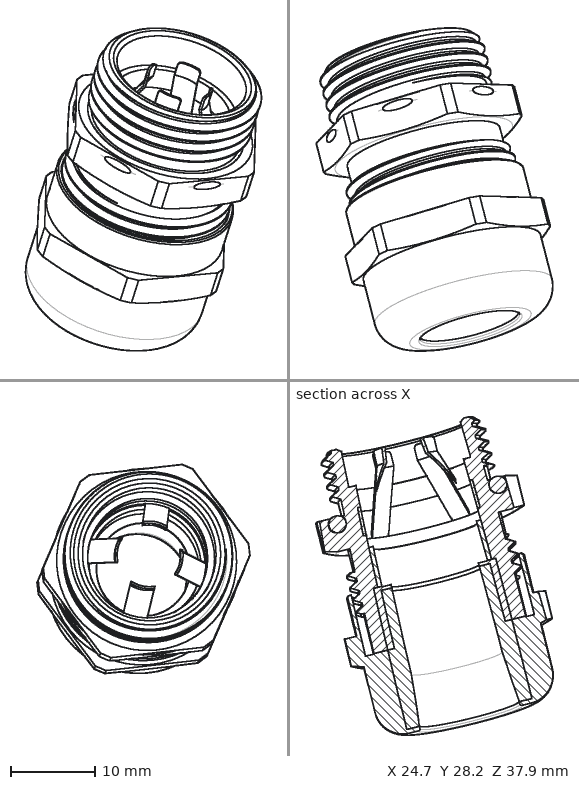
import cadquery as cq
import math


LEAN_ABOUT_X = -13.8
LEAN_ABOUT_Y = 5.6
HEX_ANGLE = 35.2
FINGER_ANGLE = 47.0

HEX_ACROSS_FLATS = 22.0
HEX_ACROSS_CORNERS = 24.6
HEX_BEVEL_RADIUS = 21.75 / 2
HEX_BEVEL_SLOPE = 16.0

CAP_RADIUS = 21.75 / 2
CAP_HEIGHT = 17.55
CAP_RIM_CHAMFER = 0.2
CAP_HEX_BOTTOM = 8.93
CAP_HEX_TOP = 12.68
CAP_FACE_RADIUS = 14.9 / 2
CAP_BORE_RADIUS = 20.7 / 2
CAP_LIP_RADIUS = 12.2 / 2
CAP_LIP_THICKNESS = 0.55
CAP_LIP_ROUND = 0.245

BODY_FOOT = 10.15
BODY_TOP = 34.7
NECK_RADIUS = 18.73 / 2
BODY_HEX_BOTTOM = 22.85
BODY_HEX_TOP = 26.9
COLLAR_OVERLAP = 0.38
ENTRY_ROOT_RADIUS = 18.28 / 2
ENTRY_BORE_RADIUS = 15.9 / 2
ENTRY_LEDGE = 30.0
RIM_OUTER_RADIUS = 9.0
RIM_INNER_RADIUS = 8.48
RIM_INNER_CHAMFER = 0.38
THROAT_RADIUS = 14.25 / 2

PITCH = 1.48
CREST_WIDTH = 0.15
FLANK_ANGLE = 30.0
THREAD_SINK = 0.08
THREAD_MARGIN = 0.38
ENTRY_MAJOR_RADIUS = 10.0
ENTRY_THREAD_BOTTOM = 28.6
ENTRY_THREAD_START = 26.0
ENTRY_THREAD_TURNS = 7
CAP_MAJOR_RADIUS = 10.25
CAP_THREAD_BOTTOM = 15.02
CAP_THREAD_TOP = 20.13
CAP_THREAD_START = 13.55
CAP_THREAD_TURNS = 6

ORING_RADIUS = 10.15
ORING_SECTION_RADIUS = 1.003
ORING_HEIGHT = 26.07

CLAMP_BORE_RADIUS = 13.3 / 2
CLAMP_TOP = 22.5
CAGE_TOP = 17.65
CAGE_RADIUS = 15.25 / 2
CAGE_LIP_RADIUS = 11.12 / 2
CAGE_LIP_THICKNESS = 0.45
CAGE_SLEEVE_RADIUS = 6.8
SEAL_TOP = CAGE_TOP - CAGE_LIP_THICKNESS
SEAL_BORE_RADIUS = CAGE_LIP_RADIUS
SEAL_CONE_TOP = 6.8
SEAL_MOUTH_RADIUS = CAP_LIP_RADIUS

CONTACT_RADIUS = 14.9 / 2
CONTACT_BOTTOM = 24.0
CONTACT_TOP = 27.35
SHEET = 0.25
FINGER_COUNT = 4
FINGER_WIDTH = 2.9
FINGER_TIP_RADIUS = 3.8
FINGER_TIP = 33.6
FINGER_BEND = 31.75
FINGER_CORNER_ROUND = 0.45


def turned(points):
    """A solid turned about Z from a closed outline of (radius, height) points."""
    return cq.Workplane("XZ").polyline(points).close().revolve(360, (0, 0, 0), (0, 1, 0))


def cylinder(radius, bottom, top):
    return cq.Workplane("XY").workplane(offset=bottom).circle(radius).extrude(top - bottom)


def tube(outer, inner, bottom, top):
    return cq.Workplane("XY").workplane(offset=bottom).circle(outer).circle(inner).extrude(top - bottom)


def hexagon(bottom, top):
    """Hexagon with flattened corners and a bevelled underside."""
    height = top - bottom

    def prism(across_flats, angle):
        corners = across_flats / math.cos(math.radians(30))
        plate = cq.Workplane("XY").workplane(offset=bottom).polygon(6, corners).extrude(height)
        return plate.rotate((0, 0, 0), (0, 0, 1), angle)

    flats = prism(HEX_ACROSS_FLATS, HEX_ANGLE)
    corner_cut = prism(HEX_ACROSS_CORNERS, HEX_ANGLE + 30)
    reach = HEX_ACROSS_CORNERS
    rise = (reach - HEX_BEVEL_RADIUS) * math.tan(math.radians(HEX_BEVEL_SLOPE))
    bevel = turned([
        (0, bottom), (HEX_BEVEL_RADIUS, bottom), (reach, bottom + rise), (reach, top + rise), (0, top + rise),
    ])
    return flats.intersect(corner_cut).intersect(bevel)


def thread(root, major, start, turns, limits):
    """Helical ridge, trimmed to the solid `limits`."""
    half_crest = CREST_WIDTH / 2
    base = root - THREAD_SINK
    half_base = half_crest + (major - base) * math.tan(math.radians(FLANK_ANGLE))
    helix = cq.Wire.makeHelix(PITCH, turns * PITCH, root).translate(cq.Vector(0, 0, start))
    ridge = (
        cq.Workplane("XZ")
        .polyline([
            (base, start - half_base), (base, start + half_base),
            (major, start + half_crest), (major, start - half_crest),
        ])
        .close()
        .sweep(cq.Workplane(obj=helix), isFrenet=True)
    )
    return ridge.intersect(limits)


def make_cap():
    fillet = CAP_RADIUS - CAP_FACE_RADIUS
    mid = fillet * math.sqrt(0.5)
    shell = (
        cq.Workplane("XZ")
        .moveTo(CAP_LIP_RADIUS, CAP_LIP_ROUND)
        .radiusArc((CAP_LIP_RADIUS + CAP_LIP_ROUND, 0), -CAP_LIP_ROUND)
        .lineTo(CAP_FACE_RADIUS, 0)
        .threePointArc((CAP_FACE_RADIUS + mid, fillet - mid), (CAP_RADIUS, fillet))
        .lineTo(CAP_RADIUS, CAP_HEIGHT - CAP_RIM_CHAMFER)
        .lineTo(CAP_RADIUS - CAP_RIM_CHAMFER, CAP_HEIGHT)
        .lineTo(CAP_BORE_RADIUS, CAP_HEIGHT)
        .lineTo(CAP_BORE_RADIUS, BODY_FOOT)
        .lineTo(CAGE_RADIUS, BODY_FOOT)
        .lineTo(CAGE_RADIUS, CAP_LIP_THICKNESS)
        .lineTo(CAP_LIP_RADIUS, CAP_LIP_THICKNESS)
        .close()
        .revolve(360, (0, 0, 0), (0, 1, 0))
    )
    core = cylinder(CAP_RADIUS - COLLAR_OVERLAP, CAP_HEX_BOTTOM, CAP_HEX_TOP)
    return shell.union(hexagon(CAP_HEX_BOTTOM, CAP_HEX_TOP).cut(core))


def make_oring():
    return (
        cq.Workplane("XZ")
        .center(ORING_RADIUS, ORING_HEIGHT)
        .circle(ORING_SECTION_RADIUS)
        .revolve(360, (-ORING_RADIUS, 0, 0), (-ORING_RADIUS, 1, 0))
    )


def contact_ring():
    return tube(CONTACT_RADIUS, THROAT_RADIUS, CONTACT_BOTTOM, CONTACT_TOP)


def make_body(oring):
    """Gland body with both threads, a groove for the O-ring and a recess for the contact ring."""
    neck_top = BODY_HEX_BOTTOM + COLLAR_OVERLAP
    core = turned([
        (CAGE_RADIUS, BODY_FOOT), (NECK_RADIUS, BODY_FOOT), (NECK_RADIUS, neck_top),
        (ENTRY_ROOT_RADIUS, neck_top), (ENTRY_ROOT_RADIUS, BODY_TOP),
        (RIM_INNER_RADIUS, BODY_TOP), (ENTRY_BORE_RADIUS, BODY_TOP - RIM_INNER_CHAMFER),
        (ENTRY_BORE_RADIUS, ENTRY_LEDGE), (THROAT_RADIUS, ENTRY_LEDGE),
        (THROAT_RADIUS, CAGE_TOP), (CAGE_RADIUS, CAGE_TOP),
    ])
    collar_bore = cylinder(THROAT_RADIUS + COLLAR_OVERLAP, BODY_HEX_BOTTOM, BODY_HEX_TOP)
    collar = hexagon(BODY_HEX_BOTTOM, BODY_HEX_TOP).cut(collar_bore)
    body = core.union(collar).cut(oring).cut(contact_ring())

    entry_limits = tube(
        ENTRY_MAJOR_RADIUS + THREAD_MARGIN, ENTRY_ROOT_RADIUS - THREAD_MARGIN, ENTRY_THREAD_BOTTOM, BODY_TOP
    )
    body = body.union(
        thread(ENTRY_ROOT_RADIUS, ENTRY_MAJOR_RADIUS, ENTRY_THREAD_START, ENTRY_THREAD_TURNS, entry_limits)
    )
    cap_limits = tube(
        CAP_MAJOR_RADIUS + THREAD_MARGIN, NECK_RADIUS - THREAD_MARGIN, CAP_THREAD_BOTTOM, CAP_THREAD_TOP
    )
    body = body.union(
        thread(NECK_RADIUS, CAP_MAJOR_RADIUS, CAP_THREAD_START, CAP_THREAD_TURNS, cap_limits)
    )

    reach = HEX_ACROSS_CORNERS / 2
    chamfer = turned([
        (RIM_OUTER_RADIUS, BODY_TOP), (reach, BODY_TOP), (reach, BODY_TOP + RIM_OUTER_RADIUS - reach),
    ])
    return body.cut(chamfer)


def make_clamp():
    return tube(THROAT_RADIUS, CLAMP_BORE_RADIUS, CAGE_TOP, CLAMP_TOP)


def make_cage():
    """Sleeve around the seal with a lip over its top."""
    return turned([
        (CAGE_SLEEVE_RADIUS, BODY_FOOT), (CAGE_RADIUS, BODY_FOOT), (CAGE_RADIUS, CAGE_TOP),
        (CAGE_LIP_RADIUS, CAGE_TOP), (CAGE_LIP_RADIUS, SEAL_TOP), (CAGE_SLEEVE_RADIUS, SEAL_TOP),
    ])


def make_seal():
    """Seal with a straight bore that flares towards the cap opening."""
    return turned([
        (SEAL_MOUTH_RADIUS, CAP_LIP_THICKNESS), (CAGE_RADIUS, CAP_LIP_THICKNESS), (CAGE_RADIUS, BODY_FOOT),
        (CAGE_SLEEVE_RADIUS, BODY_FOOT), (CAGE_SLEEVE_RADIUS, SEAL_TOP), (SEAL_BORE_RADIUS, SEAL_TOP),
        (SEAL_BORE_RADIUS, SEAL_CONE_TOP),
    ])


def make_contact():
    """Ring whose fingers lean inwards from its lower edge and end in upright tips."""
    sheet = turned([
        (THROAT_RADIUS, CONTACT_BOTTOM), (FINGER_TIP_RADIUS, FINGER_BEND), (FINGER_TIP_RADIUS, FINGER_TIP),
        (FINGER_TIP_RADIUS + SHEET, FINGER_TIP), (FINGER_TIP_RADIUS + SHEET, FINGER_BEND),
        (THROAT_RADIUS, CONTACT_BOTTOM + 2 * SHEET),
    ])
    height = FINGER_TIP - CLAMP_TOP
    blade = (
        cq.Workplane("YZ")
        .center(0, CLAMP_TOP + height / 2)
        .rect(FINGER_WIDTH, height)
        .extrude(CONTACT_RADIUS)
        .edges("|X and >Z")
        .fillet(FINGER_CORNER_ROUND)
    )
    finger = sheet.intersect(blade)
    contact = contact_ring()
    for i in range(FINGER_COUNT):
        angle = FINGER_ANGLE + i * 360 / FINGER_COUNT
        contact = contact.union(finger.rotate((0, 0, 0), (0, 0, 1), angle))
    return contact


def lean(part):
    tipped = part.rotate((0, 0, 0), (1, 0, 0), LEAN_ABOUT_X)
    return tipped.rotate((0, 0, 0), (0, 1, 0), LEAN_ABOUT_Y)


cap = lean(make_cap())
upright_oring = make_oring()
oring = lean(upright_oring)
body = lean(make_body(upright_oring))
clamp = lean(make_clamp())
cage = lean(make_cage())
seal = lean(make_seal())
contact = lean(make_contact())

result = cq.Compound.makeCompound([
    body.val(), cap.val(), oring.val(), clamp.val(), cage.val(), seal.val(), contact.val(),
])